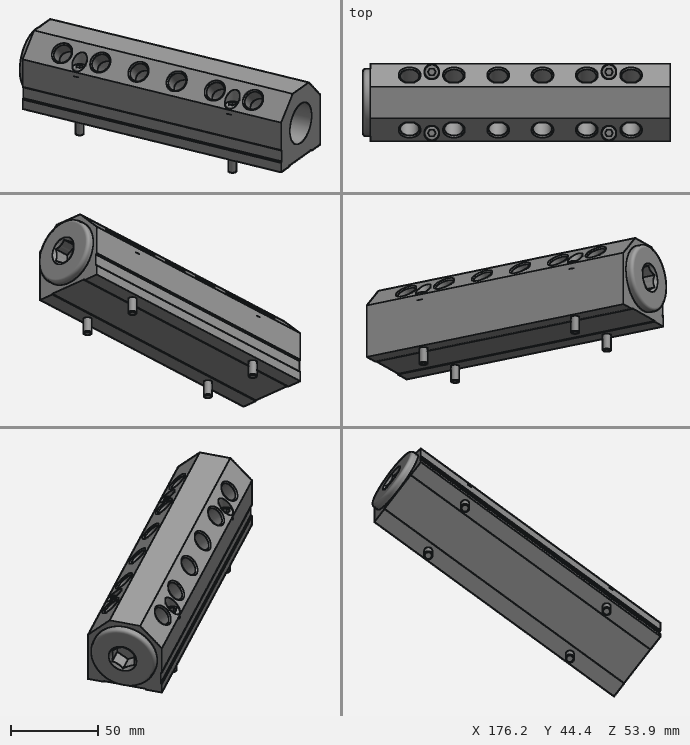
import cadquery as cq
import math

OVERALL_LENGTH = 176.2
BLOCK_WIDTH = 44.4
CORNER_CUT = 13.0
SIDE_RECESS_DEPTH = 0.7
SIDE_RECESS_BOTTOM = 6.0
SIDE_RECESS_TOP = 14.1
BASE_RECESS_WIDTH = 25.0
BASE_RECESS_DEPTH = 0.5

PORT_COUNT = 6
PORT_PITCH = 25.4
PORT_DIAMETER = 11.0
PORT_RIM_DIAMETER = 12.7
BORE_DIAMETER = 24.7

PLUG_HEAD_DIAMETER = 39.0
PLUG_HEAD_THICKNESS = 4.4
PLUG_HEAD_FILLET = 2.0
PLUG_STEM_LENGTH = 12.3
PLUG_HEX_ACROSS_FLATS = 13.0
PLUG_PILOT_DIAMETER = 13.2
PLUG_HEX_RIM_DIAMETER = 16.7
PLUG_HEX_DEPTH = 10.5

SCREW_SPACING_Y = 35.0
SCREW_SPACING_X = 4 * PORT_PITCH
SCREW_HEAD_DIAMETER = 8.1
SCREW_HEAD_HEIGHT = 5.0
SCREW_HEAD_FILLET = 0.9
SCREW_SHANK_DIAMETER = 5.0
SCREW_TIP_CHAMFER = 0.5
SCREW_PROTRUSION = 9.5
SCREW_HEX_ACROSS_FLATS = 3.9
SCREW_HEX_DEPTH = 2.5
COUNTERBORE_DIAMETER = 8.6
SCREW_SEAT_HEIGHT = 28.4

BLOCK_LENGTH = OVERALL_LENGTH - PLUG_HEAD_THICKNESS
BLOCK_HEIGHT = BLOCK_WIDTH
HALF_WIDTH = BLOCK_WIDTH / 2
AXIS_HEIGHT = BLOCK_HEIGHT / 2
MIDDLE_X = BLOCK_LENGTH / 2
PORT_XS = [MIDDLE_X + (i - (PORT_COUNT - 1) / 2) * PORT_PITCH for i in range(PORT_COUNT)]
SCREW_PLACES = [
    (MIDDLE_X + sx * SCREW_SPACING_X / 2, sy * SCREW_SPACING_Y / 2)
    for sx in (-1, 1)
    for sy in (-1, 1)
]


def along_x(diameter, start, length):
    """Cylinder on the bore axis, from X = start towards +X."""
    plane = cq.Workplane("YZ", origin=(start, 0, AXIS_HEIGHT))
    return plane.circle(diameter / 2).extrude(length)


def block_blank():
    """Bar whose profile has the corner cuts, the side recess and the base recess."""
    side = -HALF_WIDTH
    recessed_side = side + SIDE_RECESS_DEPTH
    half_base = BASE_RECESS_WIDTH / 2
    half_top = HALF_WIDTH - CORNER_CUT
    shoulder = BLOCK_HEIGHT - CORNER_CUT
    outline = [
        (-half_base, 0),
        (side, 0),
        (side, SIDE_RECESS_BOTTOM),
        (recessed_side, SIDE_RECESS_BOTTOM + SIDE_RECESS_DEPTH),
        (recessed_side, SIDE_RECESS_TOP - SIDE_RECESS_DEPTH),
        (side, SIDE_RECESS_TOP),
        (side, shoulder),
        (-half_top, BLOCK_HEIGHT),
        (half_top, BLOCK_HEIGHT),
        (HALF_WIDTH, shoulder),
        (HALF_WIDTH, 0),
        (half_base, 0),
        (half_base, BASE_RECESS_DEPTH),
        (-half_base, BASE_RECESS_DEPTH),
    ]
    return cq.Workplane("YZ").polyline(outline).close().extrude(BLOCK_LENGTH)


def port_cutter(x, side):
    """Chamfered hole square to the corner cut on the given Y side, down to the bore axis."""
    face_y = side * (HALF_WIDTH - CORNER_CUT / 2)
    face_z = BLOCK_HEIGHT - CORNER_CUT / 2
    depth = math.hypot(face_y, face_z - AXIS_HEIGHT)
    rim_step = (PORT_RIM_DIAMETER - PORT_DIAMETER) / 2
    profile = [
        (0, 0),
        (PORT_RIM_DIAMETER / 2, 0),
        (PORT_DIAMETER / 2, -rim_step),
        (PORT_DIAMETER / 2, -depth),
        (0, -depth),
    ]
    plane = cq.Plane(origin=(x, face_y, face_z), xDir=(1, 0, 0), normal=(0, -1, side))
    cutter = cq.Workplane(plane).polyline(profile).close()
    return cutter.revolve(360, (0, 0, 0), (0, 1, 0))


def screw_hole_cutter(x, y):
    """Shank hole through the block with a counterbore open to the corner cut."""
    shank = cq.Workplane("XY", origin=(x, y, 0)).circle(SCREW_SHANK_DIAMETER / 2).extrude(BLOCK_HEIGHT)
    seat = cq.Workplane("XY", origin=(x, y, SCREW_SEAT_HEIGHT))
    return shank.union(seat.circle(COUNTERBORE_DIAMETER / 2).extrude(BLOCK_HEIGHT - SCREW_SEAT_HEIGHT))


def make_block():
    block = block_blank().cut(along_x(BORE_DIAMETER, 0, BLOCK_LENGTH))
    for x in PORT_XS:
        for side in (-1, 1):
            block = block.cut(port_cutter(x, side))
    for x, y in SCREW_PLACES:
        block = block.cut(screw_hole_cutter(x, y))
    return block


def make_plug():
    """Round-headed plug in the -X end of the bore, with a countersunk hexagon socket."""
    face_x = -PLUG_HEAD_THICKNESS
    head = along_x(PLUG_HEAD_DIAMETER, face_x, PLUG_HEAD_THICKNESS)
    head = head.faces("<X").edges().fillet(PLUG_HEAD_FILLET)
    plug = head.union(along_x(BORE_DIAMETER, 0, PLUG_STEM_LENGTH))

    across_corners = PLUG_HEX_ACROSS_FLATS / math.cos(math.pi / 6)
    face = cq.Workplane("YZ", origin=(face_x, 0, AXIS_HEIGHT))
    hexagon = face.transformed(rotate=(0, 0, 90)).polygon(6, across_corners).extrude(PLUG_HEX_DEPTH)
    rim_radius = PLUG_HEX_RIM_DIAMETER / 2
    countersink = cq.Workplane(
        cq.Solid.makeCone(rim_radius, 0, rim_radius, cq.Vector(face_x, 0, AXIS_HEIGHT), cq.Vector(1, 0, 0))
    )
    pilot = along_x(PLUG_PILOT_DIAMETER, face_x, PLUG_HEX_DEPTH)
    return plug.cut(hexagon).cut(pilot).cut(countersink)


def make_screw(x, y):
    """Socket head screw standing in its counterbore, tip below the block."""
    seat = cq.Workplane("XY", origin=(x, y, SCREW_SEAT_HEIGHT))
    head = seat.circle(SCREW_HEAD_DIAMETER / 2).extrude(SCREW_HEAD_HEIGHT)
    head = head.faces(">Z").edges().fillet(SCREW_HEAD_FILLET)
    shank = seat.circle(SCREW_SHANK_DIAMETER / 2).extrude(-(SCREW_SEAT_HEIGHT + SCREW_PROTRUSION))
    shank = shank.faces("<Z").chamfer(SCREW_TIP_CHAMFER)
    across_corners = SCREW_HEX_ACROSS_FLATS / math.cos(math.pi / 6)
    top = seat.workplane(offset=SCREW_HEAD_HEIGHT)
    return head.union(shank).cut(top.polygon(6, across_corners).extrude(-SCREW_HEX_DEPTH))


block = make_block()
plug = make_plug()
screws = [make_screw(x, y) for x, y in SCREW_PLACES]

result = cq.Compound.makeCompound([block.val(), plug.val(), *[screw.val() for screw in screws]])